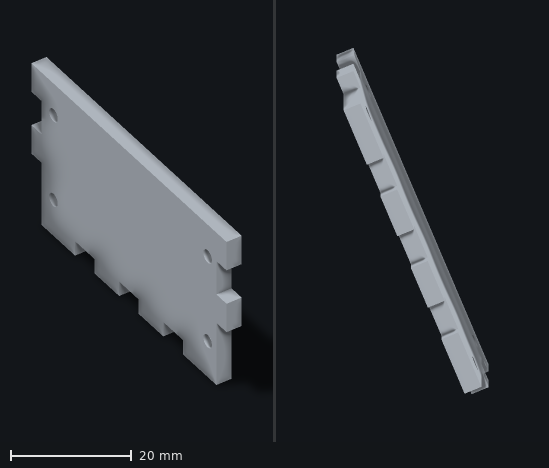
import cadquery as cq

length = 58.0
thickness = 3.0
height = 32.0

tab_depth = 3.0
tab_height = 6.0
tab_gap = 7.0
body_length = length - 2 * tab_depth

notch_count = 3
notch_width = 5.8
notch_depth = 3.0
notch_pitch = 13.1

hole_diameter = 2.55
hole_spacing_x = 45.8
hole_spacing_z = 17.8
hole_shift_x = 0.45
upper_hole_drop = 6.65


def block(size_x, size_z, center_x, top_z):
    """Full-thickness block, centred on center_x, with its top at top_z."""
    return cq.Workplane("XY").box(size_x, thickness, size_z).translate(
        (center_x, 0, top_z - size_z / 2)
    )


top_z = height / 2
bottom_z = -height / 2
result = block(body_length, height, 0, top_z)

for row in range(2):
    bar_top_z = top_z - row * (tab_height + tab_gap)
    result = result.union(block(length, tab_height, 0, bar_top_z))

for index in range(notch_count):
    notch_x = (index - (notch_count - 1) / 2) * notch_pitch
    result = result.cut(block(notch_width, notch_depth, notch_x, bottom_z + notch_depth))

hole_center_z = top_z - upper_hole_drop - hole_spacing_z / 2
holes = (
    cq.Workplane("XZ")
    .center(hole_shift_x, hole_center_z)
    .rarray(hole_spacing_x, hole_spacing_z, 2, 2)
    .circle(hole_diameter / 2)
    .extrude(thickness, both=True)
)
result = result.cut(holes)